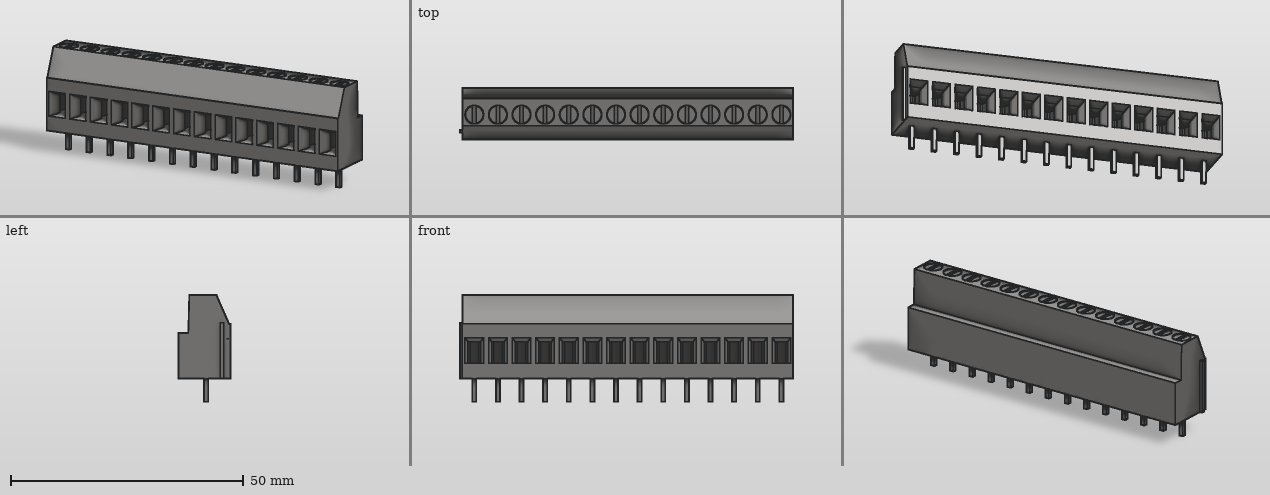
import cadquery as cq

ways = 14
total_length = 71.7
rail_projection = 0.6
housing_length = total_length - rail_projection
housing_depth = 11.2
housing_height = 18.0
pitch = housing_length / ways

knee_height = 11.75
knee_ledge = 0.3
slope_top_y = 3.0
back_top_y = 8.9
back_step_y = 9.1
back_step_height = 9.8

rail_width = 0.7
rail_center_y = 1.85
rail_height = 12.0

entry_floor = 3.3
funnel_top = 8.8
funnel_width = 4.0
funnel_depth = 2.15
channel_width = 2.7
channel_top = 7.95
channel_height = channel_top - entry_floor
channel_end_y = 7.25

screw_y = 5.45
screw_diameter = 3.8
screw_hole_diameter = 4.0
screw_sink = 0.15
screw_gap_depth = 0.7
slot_width = 0.8
slot_depth = 0.6

pin_size = 0.9
pin_length = 5.0
pin_y = 5.2


def make_housing():
    """Constant end profile run along the whole housing length."""
    profile = [
        (0, 0),
        (housing_depth, 0),
        (housing_depth, back_step_height),
        (back_step_y, back_step_height),
        (back_top_y, housing_height),
        (slope_top_y, housing_height),
        (knee_ledge, knee_height),
        (0, knee_height),
    ]
    return cq.Workplane("YZ").polyline(profile).close().extrude(housing_length)


def make_rail():
    """Slim upright rail standing out of the left end."""
    return cq.Workplane("XY").box(
        rail_projection, rail_width, rail_height, centered=(False, True, False)
    ).translate((-rail_projection, rail_center_y, 0))


def make_wire_entry(x):
    """Flat-floored funnel, straight channel and clamp bore of one way."""
    funnel = (
        cq.Workplane("XZ", origin=(x, 0, 0))
        .center(0, (entry_floor + funnel_top) / 2)
        .rect(funnel_width, funnel_top - entry_floor)
        .workplane(offset=-funnel_depth)
        .center(0, (channel_top - funnel_top) / 2)
        .rect(channel_width, channel_height)
        .loft(ruled=True)
    )
    channel = cq.Workplane("XY").box(
        channel_width, channel_end_y - funnel_depth, channel_height, centered=(True, False, False)
    ).translate((x, funnel_depth, entry_floor))
    bore = (
        cq.Workplane("XY", origin=(x, screw_y, entry_floor))
        .circle(screw_hole_diameter / 2)
        .extrude(channel_height)
    )
    return funnel.union(channel).union(bore)


def make_screw_cut(x):
    """Round hole around a sunken screw head that carries a driver slot."""
    gap_floor = housing_height - screw_gap_depth
    hole = (
        cq.Workplane("XY", origin=(x, screw_y, gap_floor))
        .circle(screw_hole_diameter / 2)
        .extrude(screw_gap_depth)
    )
    head = (
        cq.Workplane("XY", origin=(x, screw_y, gap_floor))
        .circle(screw_diameter / 2)
        .extrude(screw_gap_depth - screw_sink)
    )
    slot = (
        cq.Workplane("XY", origin=(x, screw_y, housing_height - screw_sink))
        .rect(slot_width, screw_diameter)
        .extrude(-slot_depth)
    )
    return hole.cut(head.cut(slot))


def make_pin(x):
    """Square solder pin below the housing."""
    return cq.Workplane("XY", origin=(x, pin_y, -pin_length)).rect(pin_size, pin_size).extrude(pin_length)


result = make_housing().union(make_rail())
for way in range(ways):
    way_x = (way + 0.5) * pitch
    result = result.cut(make_wire_entry(way_x)).cut(make_screw_cut(way_x)).union(make_pin(way_x))